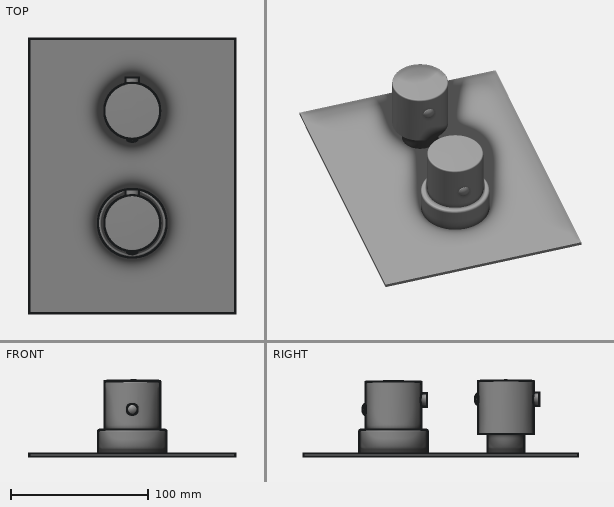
import cadquery as cq
import math

PLATE_WIDTH = 150.0
PLATE_LENGTH = 200.0
PLATE_THICKNESS = 2.5

KNOB_RADIUS = 20.5
KNOB_EDGE_FILLET = 1.0
CROWN_HEIGHT = 0.5

REAR_KNOB_Y = 47.5
REAR_KNOB_BOTTOM = 16.5
REAR_KNOB_TOP = 55.5
STEM_RADIUS = 13.5

FRONT_KNOB_Y = -34.5
FRONT_KNOB_TOP = 55.0
COLLAR_RADIUS = 25.0
COLLAR_TOP = 19.5
COLLAR_EDGE_FILLET = 1.5

PEG_RADIUS = 5.0
PEG_REACH = 24.5
PEG_DROP = 13.8

BUTTON_RADIUS = 4.0
BUTTON_SHOULDER = 20.8
BUTTON_REACH = 22.5
REAR_BUTTON_Z = REAR_KNOB_TOP - PEG_DROP
FRONT_BUTTON_Z = 34.5


def cylinder(radius, bottom, top, y):
    return cq.Workplane("XY", origin=(0, y, bottom)).circle(radius).extrude(top - bottom)


def domed_cylinder(radius, shoulder, tip, edge_round=0.0):
    """Cylinder about local Y, rising from 0, with a rounded edge and a shallow spherical dome on its end."""
    dome_radius = radius - edge_round
    dome_height = tip - shoulder
    sphere_radius = (dome_radius**2 + dome_height**2) / (2 * dome_height)
    mid_x = dome_radius / 2
    mid_y = tip - sphere_radius + math.sqrt(sphere_radius**2 - mid_x**2)
    profile = cq.Workplane("XY").lineTo(radius, 0).lineTo(radius, shoulder - edge_round)
    if edge_round > 0:
        profile = profile.tangentArcPoint((dome_radius, shoulder), relative=False)
    profile = profile.threePointArc((mid_x, mid_y), (0, tip)).close()
    return profile.revolve(360, (0, 0, 0), (0, 1, 0))


def knob(y, bottom, top, button_z):
    height = top - bottom
    body = domed_cylinder(KNOB_RADIUS, height - CROWN_HEIGHT, height, KNOB_EDGE_FILLET)
    body = body.rotate((0, 0, 0), (1, 0, 0), 90).translate((0, y, bottom))

    peg = cq.Workplane("XZ", origin=(0, y, top - PEG_DROP)).circle(PEG_RADIUS).extrude(-PEG_REACH)
    button = domed_cylinder(BUTTON_RADIUS, BUTTON_SHOULDER, BUTTON_REACH)
    button = button.rotate((0, 0, 0), (0, 0, 1), 180).translate((0, y, button_z))
    return body.union(peg).union(button)


plate = cq.Workplane("XY").box(PLATE_WIDTH, PLATE_LENGTH, PLATE_THICKNESS, centered=(True, True, False))

stem = cylinder(STEM_RADIUS, 0, REAR_KNOB_BOTTOM, REAR_KNOB_Y)
rear_knob = knob(REAR_KNOB_Y, REAR_KNOB_BOTTOM, REAR_KNOB_TOP, REAR_BUTTON_Z)

collar = cylinder(COLLAR_RADIUS, 0, COLLAR_TOP, FRONT_KNOB_Y)
collar = collar.faces(">Z").edges().fillet(COLLAR_EDGE_FILLET)
front_knob = knob(FRONT_KNOB_Y, COLLAR_TOP, FRONT_KNOB_TOP, FRONT_BUTTON_Z)

result = plate.union(stem).union(rear_knob).union(collar).union(front_knob)